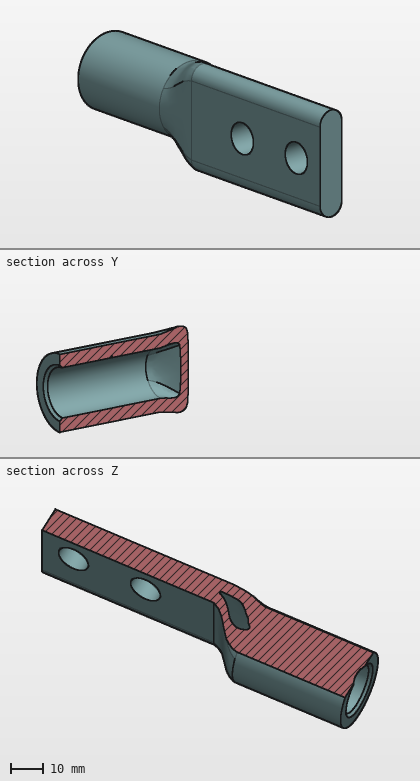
import cadquery as cq
import math

length = 113.5
barrel_diameter = 25.7
barrel_length = 38.0
transition_end = 53.1
palm_width = 35.3
palm_thickness = 9.2

bore_diameter = 16.3
mouth_diameter = 18.3
mouth_depth = (mouth_diameter - bore_diameter) / 2
socket_end_width = 25.0
socket_end_thickness = 0.6

hole_diameter = 10.4
hole_positions = (77.1, 102.4)

seam_angle = math.radians(30)
blend_steps = 4
blend_softness = 0.8

barrel_radius = barrel_diameter / 2
palm_center_y = palm_thickness / 2 - barrel_radius


def circle_points(radius):
    """Eight (y, z) points: -Y seam, end and +Y arcs, alternating edge ends and midpoints."""
    seam_y = radius * math.cos(seam_angle)
    seam_z = radius * math.sin(seam_angle)
    return [
        (-seam_y, -seam_z), (-radius, 0), (-seam_y, seam_z), (0, radius),
        (seam_y, seam_z), (radius, 0), (seam_y, -seam_z), (0, -radius),
    ]


def slot_points(width, thickness):
    """The matching eight points on a slot with fully rounded ends."""
    half_flat = (width - thickness) / 2
    front = palm_center_y - thickness / 2
    back = palm_center_y + thickness / 2
    return [
        (front, -half_flat), (front, 0), (front, half_flat), (palm_center_y, width / 2),
        (back, half_flat), (back, 0), (back, -half_flat), (palm_center_y, -width / 2),
    ]


def section(x, points):
    """Closed wire of four edges through the eight points, at station x."""
    stations = [cq.Vector(x, y, z) for y, z in points]
    edges = []
    for i in range(0, len(stations), 2):
        start, middle, end = stations[i], stations[i + 1], stations[(i + 2) % len(stations)]
        if (start + end - middle * 2).Length < 1.14e-06:
            edges.append(cq.Edge.makeLine(start, end))
        else:
            edges.append(cq.Edge.makeThreePointArc(start, middle, end))
    return cq.Wire.assembleEdges(edges)


def transition(round_points, flat_points):
    """Smooth loft from the barrel end to the palm start."""
    wires = []
    for step in range(blend_steps + 1):
        t = step / blend_steps
        s_curve = t * t * (3 - 2 * t)
        blend = t + blend_softness * (s_curve - t)
        points = [
            (a[0] + blend * (b[0] - a[0]), a[1] + blend * (b[1] - a[1]))
            for a, b in zip(round_points, flat_points)
        ]
        x = barrel_length + t * (transition_end - barrel_length)
        wires.append(section(x, points))
    return cq.Workplane(cq.Solid.makeLoft(wires))


barrel = cq.Workplane("YZ").circle(barrel_radius).extrude(barrel_length)
neck = transition(circle_points(barrel_radius), slot_points(palm_width, palm_thickness))
palm = (
    cq.Workplane("YZ", origin=(transition_end, palm_center_y, 0))
    .slot2D(palm_width, palm_thickness, 90)
    .extrude(length - transition_end)
)
body = barrel.union(neck).union(palm)

bore = (
    cq.Workplane("XY")
    .polyline([
        (0, 0),
        (0, mouth_diameter / 2),
        (mouth_depth, bore_diameter / 2),
        (barrel_length, bore_diameter / 2),
        (barrel_length, 0),
    ])
    .close()
    .revolve(360, (0, 0, 0), (1, 0, 0))
)
socket_tip = transition(
    circle_points(bore_diameter / 2),
    slot_points(socket_end_width, socket_end_thickness),
)
body = body.cut(bore).cut(socket_tip)

bolt_holes = (
    cq.Workplane("XZ")
    .pushPoints([(x, 0) for x in hole_positions])
    .circle(hole_diameter / 2)
    .extrude(barrel_diameter, both=True)
)
result = body.cut(bolt_holes)